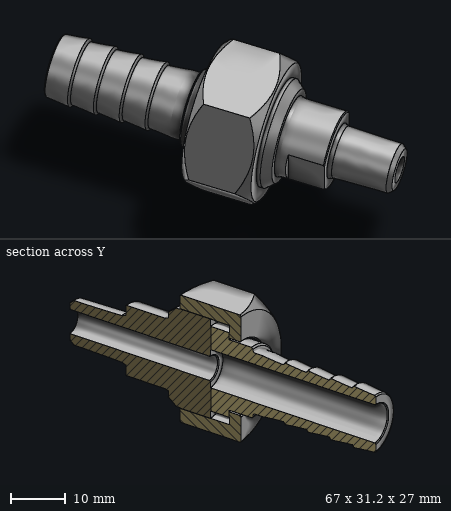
import cadquery as cq
import math

total_length = 67.0

hose_bore_diameter = 8.0
hose_bore_chamfer = 0.2
barb_count = 4
barb_pitch = 5.0
first_crest_x = 4.8
barb_back_length = 0.4
barb_root_diameter = 12.1
barb_crest_diameter = 13.1
shank_diameter = 13.0
tip_chamfer = 0.3
last_cone_end_x = 24.8
collar_x = 26.9
collar_diameter = 15.0
collar_chamfer = 0.35
collar_fillet = 0.4
tail_flange_diameter = 18.0
tail_flange_length = 4.0

nut_start_x = 29.5
nut_end_x = 43.0
nut_across_flats = 27.0
nut_face_diameter = 26.45
nut_chamfer_length = 2.3
nut_hole_diameter = 15.5
nut_hole_chamfer = 0.3
nut_wall = 2.7
thread_diameter = 20.9

adapter_bore_diameter = 5.0
adapter_bore_chamfer = 0.2
thread_end_x = 43.75
thread_cone_end_x = 45.5
thread_cone_end_diameter = 18.0
neck_start_diameter = 15.5
neck_end_x = 46.2
body_diameter = 15.0
body_end_x = 54.8
body_chamfer = 0.2
flats_start_x = 47.8
flats_wall_lean = 0.2
across_wrench_flats = 13.0
spigot_root_diameter = 10.6
spigot_start_x = 55.6
spigot_start_diameter = 10.0
spigot_end_diameter = 9.5
spigot_tip_diameter = 8.0
spigot_chamfer_length = 0.9

cavity_x = nut_start_x + nut_wall
joint_x = cavity_x + tail_flange_length


def turn(profile):
    """Revolve a closed (x, radius) outline about the X axis."""
    return profile.close().revolve(360, (0, 0, 0), (1, 0, 0))


def rod(start_x, end_x, diameter):
    """Make a plain cylinder along the X axis."""
    return cq.Workplane("YZ", origin=(start_x, 0, 0)).circle(diameter / 2).extrude(end_x - start_x)


def make_hose_tail():
    bore_radius = hose_bore_diameter / 2
    root_radius = barb_root_diameter / 2
    crest_radius = barb_crest_diameter / 2
    shank_radius = shank_diameter / 2
    collar_radius = collar_diameter / 2
    flange_radius = tail_flange_diameter / 2

    profile = (
        cq.Workplane("XY")
        .moveTo(hose_bore_chamfer, bore_radius)
        .lineTo(0, bore_radius + hose_bore_chamfer)
        .lineTo(0, root_radius - tip_chamfer)
        .lineTo(tip_chamfer, root_radius)
    )
    for barb in range(barb_count):
        crest_x = first_crest_x + barb * barb_pitch
        profile = profile.lineTo(crest_x, crest_radius).lineTo(crest_x + barb_back_length, root_radius)

    profile = (
        profile.lineTo(last_cone_end_x, shank_radius)
        .lineTo(collar_x - collar_fillet, shank_radius)
        .radiusArc((collar_x, shank_radius + collar_fillet), -collar_fillet)
        .lineTo(collar_x, collar_radius - collar_chamfer)
        .lineTo(collar_x + collar_chamfer, collar_radius)
        .lineTo(cavity_x, collar_radius)
        .lineTo(cavity_x, flange_radius)
        .lineTo(joint_x, flange_radius)
        .lineTo(joint_x, bore_radius)
    )
    return turn(profile)


def make_hole_chamfer_cutter():
    """Make the 45 degree cone that breaks the edge of the nut's small hole."""
    hole_radius = nut_hole_diameter / 2
    return turn(
        cq.Workplane("XY")
        .moveTo(nut_start_x, 0)
        .lineTo(nut_start_x, hole_radius + nut_hole_chamfer)
        .lineTo(nut_start_x + nut_hole_chamfer, hole_radius)
        .lineTo(nut_start_x + nut_hole_chamfer, 0)
    )


def make_nut():
    across_corners = nut_across_flats / math.cos(math.pi / 6)
    corner_radius = across_corners / 2
    face_radius = nut_face_diameter / 2

    hexagon = (
        cq.Workplane("YZ", origin=(nut_start_x, 0, 0))
        .polygon(6, across_corners)
        .extrude(nut_end_x - nut_start_x)
    )
    corner_envelope = turn(
        cq.Workplane("XY")
        .moveTo(nut_start_x, 0)
        .lineTo(nut_start_x, face_radius)
        .lineTo(nut_start_x + nut_chamfer_length, corner_radius)
        .lineTo(nut_end_x - nut_chamfer_length, corner_radius)
        .lineTo(nut_end_x, face_radius)
        .lineTo(nut_end_x, 0)
    )
    hole = rod(nut_start_x, cavity_x, nut_hole_diameter)
    hole_chamfer = make_hole_chamfer_cutter()
    cavity = rod(cavity_x, nut_end_x, thread_diameter)
    return hexagon.intersect(corner_envelope).cut(hole).cut(hole_chamfer).cut(cavity)


def make_wrench_flat_cutter(side):
    """Make the block beyond one flat; its end wall leans toward the nut as it goes outward."""
    flat_y = across_wrench_flats / 2
    rim_y = body_diameter / 2
    return (
        cq.Workplane("XY")
        .moveTo(flats_start_x, side * flat_y)
        .lineTo(body_end_x, side * flat_y)
        .lineTo(body_end_x, side * rim_y)
        .lineTo(flats_start_x - flats_wall_lean, side * rim_y)
        .close()
        .extrude(body_diameter / 2, both=True)
    )


def make_adapter():
    bore_radius = adapter_bore_diameter / 2
    thread_radius = thread_diameter / 2
    body_radius = body_diameter / 2

    adapter = turn(
        cq.Workplane("XY")
        .moveTo(joint_x + adapter_bore_chamfer, bore_radius)
        .lineTo(joint_x, bore_radius + adapter_bore_chamfer)
        .lineTo(joint_x, thread_radius)
        .lineTo(thread_end_x, thread_radius)
        .lineTo(thread_cone_end_x, thread_cone_end_diameter / 2)
        .lineTo(thread_cone_end_x, neck_start_diameter / 2)
        .lineTo(neck_end_x, body_radius)
        .lineTo(body_end_x - body_chamfer, body_radius)
        .lineTo(body_end_x, body_radius - body_chamfer)
        .lineTo(body_end_x, spigot_root_diameter / 2)
        .lineTo(spigot_start_x, spigot_start_diameter / 2)
        .lineTo(total_length - spigot_chamfer_length, spigot_end_diameter / 2)
        .lineTo(total_length, spigot_tip_diameter / 2)
        .lineTo(total_length, bore_radius)
    )
    for side in (-1, 1):
        adapter = adapter.cut(make_wrench_flat_cutter(side))
    return adapter


hose_tail = make_hose_tail()
nut = make_nut()
adapter = make_adapter()

result = cq.Compound.makeCompound([hose_tail.val(), nut.val(), adapter.val()])